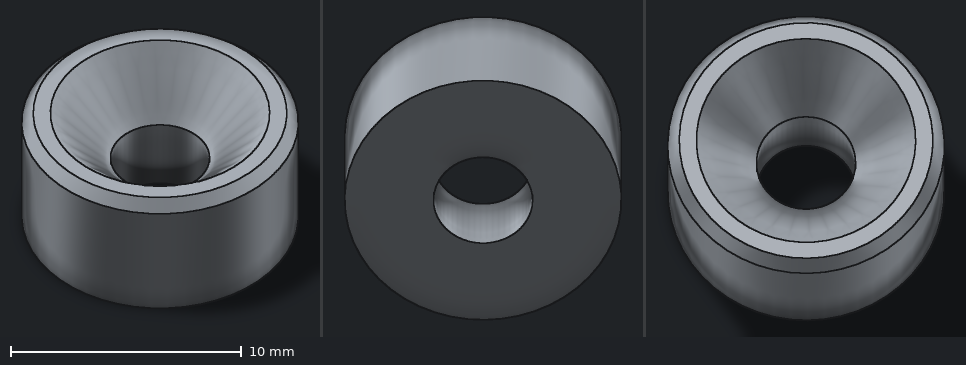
import cadquery as cq

outer_diameter = 12.0
height = 6.0
rim_chamfer = 0.5
bore_diameter = 4.3
countersink_diameter = 9.5
countersink_angle = 90.0

body = cq.Workplane("XY").circle(outer_diameter / 2).extrude(height)

body = body.faces(">Z").edges().chamfer(rim_chamfer)

result = (
    body.faces(">Z")
    .workplane(origin=(0, 0, height))
    .cskHole(bore_diameter, countersink_diameter, countersink_angle)
)